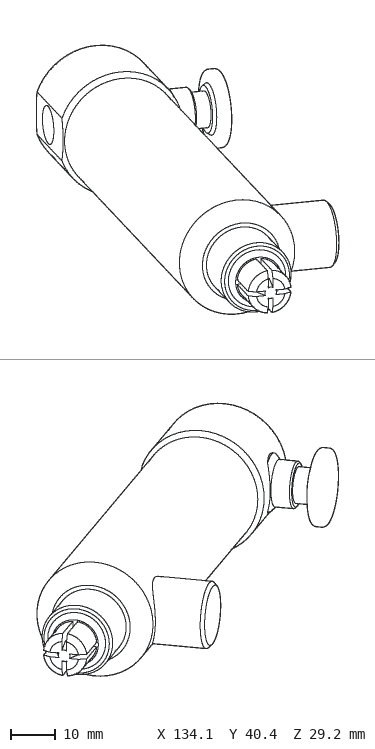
import cadquery as cq
import math

TOTAL_LENGTH = 134.1
HEAD_CONE_START = 19.5
BARREL_START = 20.7
NOSE_CONE_START = 108.4
COLLAR_START = 111.7
COLLAR_END = 123.7
SHAFT_START = 124.9

HEAD_DIAMETER = 29.2
BARREL_DIAMETER = 27.0
NOSE_END_DIAMETER = 18.2
COLLAR_DIAMETER = 16.4
COLLAR_FACE_DIAMETER = 15.2
SHAFT_CONE_DIAMETERS = (13.4, 10.7)
SHAFT_DIAMETER = 10.0
SHAFT_TIP_DIAMETER = 6.7

HEAD_CHAMFER = 0.4
COLLAR_CHAMFER = 0.7
SHAFT_CHAMFER = 0.8

FLAT_WIDTH = 10.0
FLAT_Y = -math.sqrt(HEAD_DIAMETER ** 2 - FLAT_WIDTH ** 2) / 2
PORT_END_DIAMETER = 7.9
PORT_MOUTH_DIAMETER = 8.7
PORT_DEPTH = 12.9

FLANGE_DIAMETER = 17.8
FLANGE_FACE_Y = 26.7
FLANGE_BACK_Y = 23.9
FLANGE_FILLET = 0.8
FITTING_X = FLANGE_DIAMETER / 2
FITTING_DIAMETER = 10.7
STUB_ROOT_DIAMETER = 11.8
STUB_END_Y = 23.1
NECK_DIAMETER = 8.3
HUB_END_Y = 19.5
HUB_CHAMFER = 0.4
WELD_TOP_Y = 14.8
WELD_SIZE = 1.3

OUTLET_X = 98.9
OUTLET_DIAMETER = 15.2
OUTLET_END_Y = 24.7
OUTLET_CHAMFER = 0.8

SLOT_COUNT = 4
SLOT_WIDTH = 1.1
CORE_DIAMETER = 4.8
CORE_TIP_DIAMETER = 2.7
CORE_TAPER_START = 131.3


def revolve_about_x(profile):
    """Solid of revolution from (x, diameter) corners, closed along the X axis."""
    corners = [(x, diameter / 2) for x, diameter in profile]
    corners = [(profile[0][0], 0)] + corners + [(profile[-1][0], 0)]
    return cq.Workplane("XY").polyline(corners).close().revolve(360, (0, 0), (1, 0))


def revolve_about_y(center_x, profile):
    """Solid of revolution about a line parallel to Y from (diameter, y) corners."""
    corners = [(center_x + diameter / 2, y) for diameter, y in profile]
    corners = [(center_x, profile[0][1])] + corners + [(center_x, profile[-1][1])]
    return cq.Workplane("XY").polyline(corners).close().revolve(360, (center_x, 0), (center_x, 1))


def make_turned_body():
    """Head, barrel, nose cone, collar and shaft along the main axis."""
    cone_large, cone_small = SHAFT_CONE_DIAMETERS
    return revolve_about_x([
        (0, HEAD_DIAMETER - 2 * HEAD_CHAMFER),
        (HEAD_CHAMFER, HEAD_DIAMETER),
        (HEAD_CONE_START, HEAD_DIAMETER),
        (BARREL_START, BARREL_DIAMETER),
        (NOSE_CONE_START, BARREL_DIAMETER),
        (COLLAR_START, NOSE_END_DIAMETER),
        (COLLAR_START, COLLAR_DIAMETER),
        (COLLAR_END - COLLAR_CHAMFER, COLLAR_DIAMETER),
        (COLLAR_END, COLLAR_FACE_DIAMETER),
        (COLLAR_END, cone_large),
        (SHAFT_START, cone_small),
        (SHAFT_START, SHAFT_DIAMETER),
        (TOTAL_LENGTH - SHAFT_CHAMFER, SHAFT_DIAMETER),
        (TOTAL_LENGTH, SHAFT_TIP_DIAMETER),
    ])


def make_spline_slots():
    """Slots running the full shaft length, leaving the central core."""
    length = TOTAL_LENGTH - SHAFT_START
    core = revolve_about_x([
        (SHAFT_START, CORE_DIAMETER),
        (CORE_TAPER_START, CORE_DIAMETER),
        (TOTAL_LENGTH, CORE_TIP_DIAMETER),
    ])
    slots = cq.Workplane("XY")
    for index in range(SLOT_COUNT):
        slot = (
            cq.Workplane("XY")
            .box(length, SLOT_WIDTH, SHAFT_DIAMETER, centered=(False, True, False))
            .translate((SHAFT_START, 0, 0))
            .rotate((0, 0, 0), (1, 0, 0), index * 360 / SLOT_COUNT)
        )
        slots = slots.add(slot)
    return slots.combine().cut(core)


def make_flanged_fitting():
    """Welded hub, narrow neck and round-edged flange."""
    stem = revolve_about_y(FITTING_X, [
        (FITTING_DIAMETER + 2 * WELD_SIZE, 0),
        (FITTING_DIAMETER + 2 * WELD_SIZE, WELD_TOP_Y - WELD_SIZE),
        (FITTING_DIAMETER, WELD_TOP_Y),
        (FITTING_DIAMETER, HUB_END_Y - HUB_CHAMFER),
        (FITTING_DIAMETER - 2 * HUB_CHAMFER, HUB_END_Y),
        (NECK_DIAMETER, HUB_END_Y),
        (NECK_DIAMETER, STUB_END_Y),
        (FITTING_DIAMETER, STUB_END_Y),
        (STUB_ROOT_DIAMETER, FLANGE_BACK_Y),
    ])
    flange = revolve_about_y(FITTING_X, [
        (FLANGE_DIAMETER, FLANGE_BACK_Y),
        (FLANGE_DIAMETER, FLANGE_FACE_Y),
    ]).edges().fillet(FLANGE_FILLET)
    return stem.union(flange)


def make_side_outlet():
    """Plain chamfered spigot on the barrel."""
    return revolve_about_y(OUTLET_X, [
        (OUTLET_DIAMETER, 0),
        (OUTLET_DIAMETER, OUTLET_END_Y - OUTLET_CHAMFER),
        (OUTLET_DIAMETER - 2 * OUTLET_CHAMFER, OUTLET_END_Y),
    ])


def make_flat_cutter():
    """Block removing the -Y side of the head down to the flat."""
    return (
        cq.Workplane("XY")
        .box(BARREL_START, HEAD_DIAMETER, HEAD_DIAMETER, centered=(False, False, True))
        .translate((0, FLAT_Y - HEAD_DIAMETER, 0))
    )


def make_port():
    """Blind tapered hole, entering through the flat."""
    return revolve_about_y(FITTING_X, [
        (PORT_MOUTH_DIAMETER, FLAT_Y),
        (PORT_END_DIAMETER, FLAT_Y + PORT_DEPTH),
    ])


result = (
    make_turned_body()
    .cut(make_spline_slots())
    .cut(make_flat_cutter())
    .union(make_flanged_fitting())
    .union(make_side_outlet())
    .cut(make_port())
)